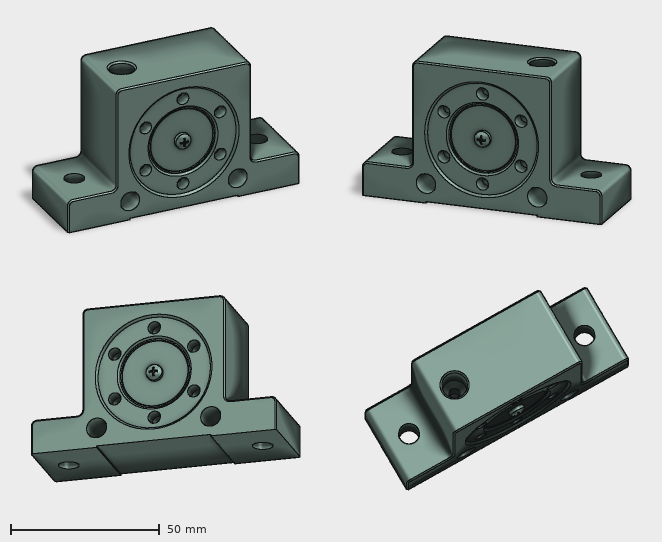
import cadquery as cq
import math

length = 86.0
height = 50.0
width = 28.8
block_length = 50.0
foot_height = 12.0
corner_radius = 2.0
edge_chamfer = 0.5

relief_length = 40.0
relief_depth = 0.5

mount_diameter = 7.0
foot_hole_y = 34.0
cross_hole_y = relief_length / 2
cross_hole_z = 7.0

inlet_y = -16.3
inlet_diameter = 8.6
inlet_rim_diameter = 9.8
inlet_depth = 12.9
inlet_tip_diameter = 3.6
inlet_tip_depth = 8.6

cover_z = height / 2
cover_diameter = 39.4
cover_rim_diameter = 40.9
exhaust_diameter = 4.3
exhaust_circle_radius = 16.0
exhaust_count = 6
exhaust_depth = 5.2

hub_rim_diameter = 26.0
ledge_outer_diameter = 24.6
ledge_inner_diameter = 23.65
hub_diameter = 23.05

screw_diameter = 5.6
screw_tip_x = 30.1 / 2
dome_radius = 4.0
slot_length = 2.9
slot_width = 0.5
slot_core = 0.9
slot_depth = 0.9

drill_half_angle = math.radians(118 / 2)

side_x = width / 2
cover_x = side_x - (cover_rim_diameter - cover_diameter) / 2
ledge_x = cover_x - (hub_rim_diameter - ledge_outer_diameter) / 2
hub_x = ledge_x - (ledge_inner_diameter - hub_diameter) / 2


def make_body():
    """Inverted-T profile with rounded corners, extruded across the width."""
    half_block = block_length / 2
    half_length = length / 2
    profile = [
        (-half_length, 0),
        (half_length, 0),
        (half_length, foot_height),
        (half_block, foot_height),
        (half_block, height),
        (-half_block, height),
        (-half_block, foot_height),
        (-half_length, foot_height),
    ]
    body = cq.Workplane("YZ").polyline(profile).close().extrude(side_x, both=True)
    body = body.edges("|X").edges("not <Z").fillet(corner_radius)

    side_rims = body.faces("<X or >X").edges().edges("not <Z")
    return side_rims.chamfer(edge_chamfer)


def revolve_about_cover_axis(profile):
    """Solid of revolution about the cover axis from (x, radius) points."""
    return (
        cq.Workplane("XY").polyline(profile).close()
        .revolve(360, (0, 0, 0), (1, 0, 0))
        .translate((0, 0, cover_z))
    )


def make_cover_recess():
    """Bevelled recess down to the cover, then two bevels with a ledge down to the hub plate."""
    return revolve_about_cover_axis([
        (side_x, 0),
        (side_x, cover_rim_diameter / 2),
        (cover_x, cover_diameter / 2),
        (cover_x, hub_rim_diameter / 2),
        (ledge_x, ledge_outer_diameter / 2),
        (ledge_x, ledge_inner_diameter / 2),
        (hub_x, hub_diameter / 2),
        (hub_x, 0),
    ])


def make_exhaust_holes():
    """Ring of blind holes with drill-point ends."""
    radius = exhaust_diameter / 2
    floor_x = cover_x - exhaust_depth
    point_x = floor_x - radius / math.tan(drill_half_angle)
    hole = revolve_about_cover_axis([(cover_x, 0), (cover_x, radius), (floor_x, radius), (point_x, 0)])
    holes = cq.Workplane()
    for i in range(exhaust_count):
        angle = 2 * math.pi * i / exhaust_count
        offset_y = exhaust_circle_radius * math.sin(angle)
        offset_z = exhaust_circle_radius * math.cos(angle)
        holes = holes.add(hole.translate((0, offset_y, offset_z)))
    return holes.combine()


def make_screw():
    """Domed screw head standing on the hub plate, with a cross slot.

    The slot removes the apex, so the corners of its core are the outermost points.
    """
    rim_radius = screw_diameter / 2
    core_corner = slot_core / math.sqrt(2)
    dome_centre_x = screw_tip_x - math.sqrt(dome_radius**2 - core_corner**2)
    apex_x = dome_centre_x + dome_radius
    rim_x = dome_centre_x + math.sqrt(dome_radius**2 - rim_radius**2)
    middle_angle = math.asin(rim_radius / dome_radius) / 2
    dome_middle = (
        dome_centre_x + dome_radius * math.cos(middle_angle),
        dome_radius * math.sin(middle_angle),
    )
    head = (
        cq.Workplane("XY").moveTo(hub_x, 0).lineTo(hub_x, rim_radius).lineTo(rim_x, rim_radius)
        .threePointArc(dome_middle, (apex_x, 0)).close()
        .revolve(360, (0, 0, 0), (1, 0, 0))
    )
    for size_y, size_z in [(slot_length, slot_width), (slot_width, slot_length), (slot_core, slot_core)]:
        slot = cq.Workplane("XY").box(2 * slot_depth, size_y, size_z)
        head = head.cut(slot.translate((screw_tip_x, 0, 0)))
    return head.translate((0, 0, cover_z))


def make_inlet():
    """Bevelled bore with a conical end that leads into a small drilled hole."""
    rim_bevel = (inlet_rim_diameter - inlet_diameter) / 2
    tip_radius = inlet_tip_diameter / 2
    cone_depth = (inlet_diameter / 2 - tip_radius) / math.tan(drill_half_angle)
    cone_top_z = height - inlet_depth
    cone_bottom_z = cone_top_z - cone_depth
    tip_z = cone_bottom_z - inlet_tip_depth
    return (
        cq.Workplane("XZ")
        .polyline([
            (0, height),
            (inlet_rim_diameter / 2, height),
            (inlet_diameter / 2, height - rim_bevel),
            (inlet_diameter / 2, cone_top_z),
            (tip_radius, cone_bottom_z),
            (tip_radius, tip_z),
            (0, tip_z - tip_radius / math.tan(drill_half_angle)),
        ])
        .close()
        .revolve(360, (0, 0, 0), (0, 1, 0))
        .translate((0, inlet_y, 0))
    )


result = make_body()

result = result.cut(cq.Workplane("XY").box(width, relief_length, 2 * relief_depth))

for end in (-1, 1):
    foot_hole = cq.Workplane("XY").circle(mount_diameter / 2).extrude(height)
    result = result.cut(foot_hole.translate((0, end * foot_hole_y, 0)))
    cross_hole = cq.Workplane("YZ").circle(mount_diameter / 2).extrude(side_x, both=True)
    result = result.cut(cross_hole.translate((0, end * cross_hole_y, cross_hole_z)))

result = result.cut(make_inlet())

for recess in (make_cover_recess(), make_exhaust_holes()):
    result = result.cut(recess).cut(recess.mirror("YZ"))
screw = make_screw()
result = result.union(screw).union(screw.mirror("YZ"))